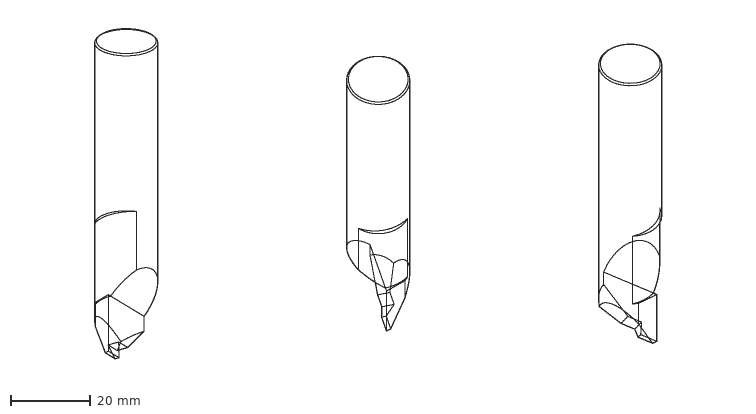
import cadquery as cq
import math

length = 88.9
diameter = 15.9
radius = diameter / 2
end_chamfer = 0.45

pocket_bottom = 15.65
pocket_top = 38.2
pocket_floor_x = -6.9
pocket_half_width = 6.4
pocket_edge_x = -math.sqrt(radius**2 - pocket_half_width**2)

tip_thickness = 1.25
front_slope = 65.0
relief_depth = 5.3
relief_edge_x = -math.sqrt(radius**2 - relief_depth**2)
tooth_tip_inner_x = -3.1
tooth_root_inner_x = -3.4
shoulder_z = 4.3
shoulder_end_x = 0.7

margin = 4.45
reach = radius + margin


def make_shank():
    shank = cq.Workplane("XY").circle(radius).extrude(length)
    return shank.faces(">Z").chamfer(end_chamfer)


def make_side_pocket():
    """Shallow pocket whose floor is an arc flatter than the shank."""
    return (
        cq.Workplane("XY")
        .workplane(offset=pocket_bottom)
        .moveTo(pocket_edge_x, -pocket_half_width)
        .threePointArc((pocket_floor_x, 0), (pocket_edge_x, pocket_half_width))
        .lineTo(-reach, pocket_half_width)
        .lineTo(-reach, -pocket_half_width)
        .close()
        .extrude(pocket_top - pocket_bottom)
    )


def extrude_along_x(points):
    """Cutting body across the whole shank from a (Y, Z) outline."""
    return cq.Workplane("YZ").polyline(points).close().extrude(reach, both=True)


def make_rear_cut():
    """Flat rake face on the axis, running out at 45 degrees."""
    return extrude_along_x([
        (0, 0),
        (0, pocket_bottom),
        (reach, pocket_bottom + reach),
        (reach, 0),
    ])


def make_front_cut():
    """Steep clearance face under the tip."""
    rise = (reach - tip_thickness) * math.tan(math.radians(front_slope))
    return extrude_along_x([
        (-tip_thickness, 0),
        (-reach, rise),
        (-reach, 0),
    ])


def make_side_relief():
    """Vertical clearance face falling away from the cutting edge at -X."""
    return (
        cq.Workplane("XY")
        .polyline([
            (-radius, 0),
            (relief_edge_x, -relief_depth),
            (-reach, -relief_depth),
            (-reach, 0),
        ])
        .close()
        .extrude(pocket_bottom)
    )


def make_tooth_cut():
    """Space beside the tooth, which narrows toward its root, with a level shoulder and a 45 degree run-out."""
    return (
        cq.Workplane("XZ")
        .polyline([
            (tooth_tip_inner_x, 0),
            (tooth_root_inner_x, shoulder_z),
            (shoulder_end_x, shoulder_z),
            (reach, shoulder_z + reach - shoulder_end_x),
            (reach, 0),
        ])
        .close()
        .extrude(reach, both=True)
    )


result = (
    make_shank()
    .cut(make_side_pocket())
    .cut(make_rear_cut())
    .cut(make_front_cut())
    .cut(make_side_relief())
    .cut(make_tooth_cut())
)